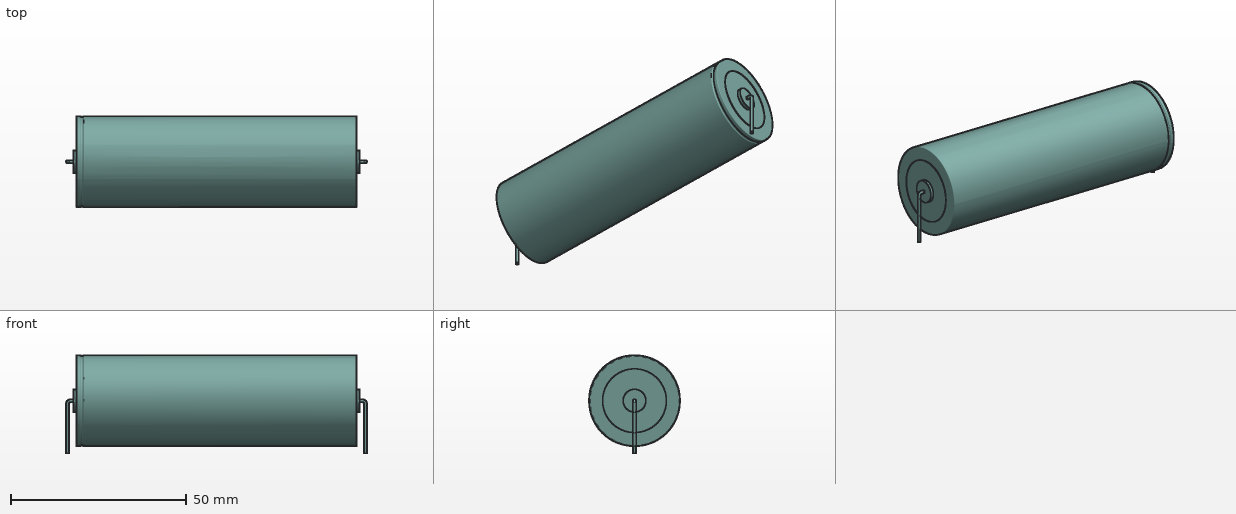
import cadquery as cq
import math


can_length = 80.0
can_radius = 13.0
end_fillet = 0.2

groove_center_x = -can_length / 2 + 1.6
groove_width = 0.8
groove_depth = 0.3
groove_edge_fillet = 0.1

rim_inner_radius = 0.7 * can_radius
recess_depth = 0.1

boss_diameter = 6.5
boss_height = 0.8

wire_diameter = 0.9
lead_pitch = 85.0
lead_bend_radius = 0.9
lead_tip_z = -15.0

stripe_angle = 45.0
mark_count = 3
mark_length = 10.4
mark_width = 2.6
mark_pitch = 2 * mark_length


def end_cylinder(side, radius, start_x, length):
    """Cylinder on the can axis, starting at start_x and running outward on one side."""
    return cq.Workplane("YZ", origin=(side * start_x, 0, 0)).circle(radius).extrude(side * length)


def make_can():
    can = cq.Workplane("YZ").circle(can_radius).extrude(can_length / 2, both=True)
    can = can.edges("%CIRCLE").fillet(end_fillet)
    half_width = groove_width / 2
    groove = (
        cq.Workplane("XY", origin=(groove_center_x, 0, 0))
        .moveTo(-half_width, can_radius)
        .threePointArc((0, can_radius - groove_depth), (half_width, can_radius))
        .close()
        .revolve(360, (0, 0, 0), (1, 0, 0))
    )
    can = can.cut(groove)
    groove_rims = cq.selectors.BoxSelector(
        (groove_center_x - groove_width, -2 * can_radius, -2 * can_radius),
        (groove_center_x + groove_width, 2 * can_radius, 2 * can_radius),
    )
    can = can.edges(groove_rims).edges("%CIRCLE").fillet(groove_edge_fillet)
    for side in (-1, 1):
        can = can.cut(end_cylinder(side, rim_inner_radius, can_length / 2 - recess_depth, recess_depth))
    return can


def make_stripe_zone():
    """Wedge over the top of the can, outside the rim's inner radius."""
    reach = 2 * can_radius
    half_span = reach * math.tan(math.radians(stripe_angle / 2))
    wedge = (
        cq.Workplane("YZ")
        .polyline([(0, 0), (half_span, reach), (-half_span, reach)])
        .close()
        .extrude(can_length / 2, both=True)
    )
    core = cq.Workplane("YZ").circle(rim_inner_radius).extrude(can_length / 2, both=True)
    return wedge.cut(core)


def make_mark_zone():
    """Upright round-ended prisms that outline the minus marks on the stripe."""
    floor_z = (rim_inner_radius + can_radius) / 2
    return (
        cq.Workplane("XY", origin=(0, 0, floor_z))
        .rarray(mark_pitch, 1, mark_count, 1)
        .slot2D(mark_length, mark_width)
        .extrude(can_radius)
    )


def outline_flush(body, zone):
    """Split the body's skin along the zone's border without changing its shape."""
    return body.cut(zone, clean=False).union(body.intersect(zone, clean=False), clean=False)


def make_boss(side):
    start_x = can_length / 2 - recess_depth
    return end_cylinder(side, boss_diameter / 2, start_x, boss_height + recess_depth)


def make_lead(side):
    """Wire that leaves the boss along X, bends and runs straight down."""
    start_x = side * can_length / 2
    drop_x = side * lead_pitch / 2
    bend_center_x = drop_x - side * lead_bend_radius
    bend_mid_offset = lead_bend_radius * math.sqrt(0.5)
    path = (
        cq.Workplane("XZ")
        .moveTo(start_x, 0)
        .lineTo(bend_center_x, 0)
        .threePointArc(
            (bend_center_x + side * bend_mid_offset, bend_mid_offset - lead_bend_radius),
            (drop_x, -lead_bend_radius),
        )
        .lineTo(drop_x, lead_tip_z)
    )
    return cq.Workplane("YZ", origin=(start_x, 0, 0)).circle(wire_diameter / 2).sweep(path)


capacitor = outline_flush(make_can(), make_stripe_zone())
capacitor = outline_flush(capacitor, make_mark_zone())
for end_side in (-1, 1):
    capacitor = capacitor.union(make_boss(end_side), clean=False)
    capacitor = capacitor.union(make_lead(end_side), clean=False)

result = capacitor